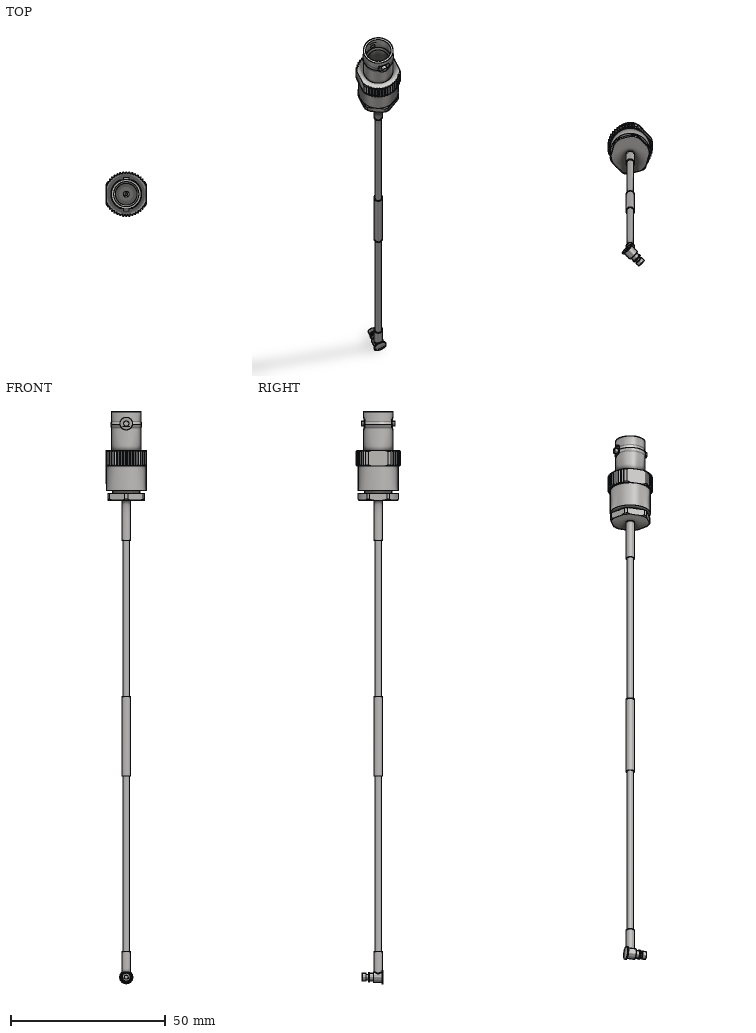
import cadquery as cq
import math


TOP_Z = 185.0
RING_Z = 180.8
RING_HEIGHT = 2.2
KNURL_TOP_Z = 172.5
KNURL_BOTTOM_Z = 167.5
BODY_BOTTOM_Z = 159.5
NUT_TOP_Z = 158.6
NUT_BOTTOM_Z = 156.4

BARREL_RADIUS = 4.8
BORE_RADIUS = 3.5
BORE_DEPTH = TOP_Z - KNURL_TOP_Z
MOUTH_RADIUS = 4.0
MOUTH_DEPTH = 4.8
MOUTH_TAPER_HEIGHT = 0.7
CONTACT_RADIUS = 1.0
CONTACT_HOLE_RADIUS = 0.46
CONTACT_HEIGHT = 3.7
RING_BULGE = 0.2
BODY_RADIUS = 6.5
NECK_RADIUS = 4.5
KNURL_TIP_RADIUS = 7.2
KNURL_CHAMFER = 0.4
KNURL_GROOVE_DEPTH = 0.5
KNURL_GROOVE_BASE_ANGLE = 12
KNURL_GROOVE_PITCH = 8
GROOVES_PER_SIDE = 14
KNURL_FLATS = 2 * BODY_RADIUS
NUT_ACROSS_FLATS = 11.8
NUT_CORNER_RADIUS = 6.57
NUT_CHAMFER = 0.4

LUG_Z = 181.2
LUG_RADIUS = 0.83
LUG_REACH = 5.46
LUG_FLAT_REACH = 4.3
LUG_FLAT_RADIUS = 2.0

CABLE_RADIUS = 1.1
SLEEVE_RADIUS = 1.39
UPPER_SLEEVE_BOTTOM_Z = 143.5
MIDDLE_SLEEVE_TOP_Z = 93.0
MIDDLE_SLEEVE_BOTTOM_Z = 67.2
LOWER_SLEEVE_TOP_Z = 10.4

CAP_RADIUS = 2.13
CAP_THICKNESS = 0.4
PLUG_BODY_RADIUS = 1.75
PLUG_HALF_LENGTH = 1.57
PLUG_Z = CAP_RADIUS
NOSE_RADIUS = 1.3
FLANGE_RADIUS = 1.5
FLANGE_START = 2.8
FLANGE_END = 3.1
COLLET_RADIUS = 1.0
HEAD_START = 3.9
HEAD_END = 5.2
HEAD_BORE_RADIUS = 0.65
HEAD_BORE_DEPTH = 1.3


def cylinder(radius, bottom_z, top_z):
    """Upright cylinder on the Z axis."""
    return cq.Workplane("XY", origin=(0, 0, bottom_z)).circle(radius).extrude(top_z - bottom_z)


def revolved(outline):
    """Solid of revolution about Z from (radius, height) points."""
    return cq.Workplane("XZ").polyline(outline).close().revolve(360, (0, 0), (0, 1))


def polar(radius, degrees):
    angle = math.radians(degrees)
    return (radius * math.cos(angle), radius * math.sin(angle))


def revolved_barrel():
    """Barrel, main body and neck, with a pointed ring around the barrel."""
    half_ring = RING_HEIGHT / 2
    outline = [
        (0, NUT_TOP_Z),
        (NECK_RADIUS, NUT_TOP_Z),
        (NECK_RADIUS, BODY_BOTTOM_Z),
        (BODY_RADIUS, BODY_BOTTOM_Z),
        (BODY_RADIUS, KNURL_BOTTOM_Z),
        (BARREL_RADIUS, KNURL_BOTTOM_Z),
        (BARREL_RADIUS, RING_Z - half_ring),
        (BARREL_RADIUS + RING_BULGE, RING_Z),
        (BARREL_RADIUS, RING_Z + half_ring),
        (BARREL_RADIUS, TOP_Z),
        (0, TOP_Z),
    ]
    return revolved(outline)


def knurl():
    """Chamfered disc with flats on the -X and +X sides and V-grooved arcs between them."""
    height = KNURL_TOP_Z - KNURL_BOTTOM_Z
    plane = cq.Workplane("XY", origin=(0, 0, KNURL_BOTTOM_Z))
    disc = cylinder(KNURL_TIP_RADIUS, KNURL_BOTTOM_Z, KNURL_TOP_Z).edges("%CIRCLE").chamfer(KNURL_CHAMFER)
    disc = disc.intersect(plane.rect(KNURL_FLATS, 2 * KNURL_TIP_RADIUS).extrude(height))
    grooves = plane
    for side_angle in (90, 270):
        for groove in range(GROOVES_PER_SIDE):
            angle = side_angle + (groove - (GROOVES_PER_SIDE - 1) / 2) * KNURL_GROOVE_PITCH
            grooves = grooves.polyline(groove_outline(angle)).close()
    return disc.cut(grooves.extrude(height))


def groove_outline(angle):
    """Triangle with its point inside the knurl rim and its base outside the rim."""
    root_radius = KNURL_TIP_RADIUS - KNURL_GROOVE_DEPTH
    outer_radius = KNURL_TIP_RADIUS + KNURL_GROOVE_DEPTH
    return [
        polar(root_radius, angle),
        polar(outer_radius, angle - KNURL_GROOVE_BASE_ANGLE / 2),
        polar(outer_radius, angle + KNURL_GROOVE_BASE_ANGLE / 2),
    ]


def nut():
    """Hexagon with corners on the Y axis, trimmed by a turned blank with a lower chamfer."""
    across_corners = NUT_ACROSS_FLATS / math.cos(math.pi / 6)
    height = NUT_TOP_Z - NUT_BOTTOM_Z
    hexagon = (
        cq.Workplane("XY", origin=(0, 0, NUT_BOTTOM_Z))
        .transformed(rotate=(0, 0, 90))
        .polygon(6, across_corners)
        .extrude(height)
    )
    blank = cylinder(NUT_CORNER_RADIUS, NUT_BOTTOM_Z, NUT_TOP_Z).faces("<Z").chamfer(NUT_CHAMFER)
    return hexagon.intersect(blank)


def y_cylinder(radius, start_y, end_y, z):
    """Cylinder along Y between two Y positions at height z."""
    plane = cq.Plane(origin=(0, start_y, z), xDir=(0, 0, 1), normal=(0, -1, 0))
    return cq.Workplane(plane).circle(radius).extrude(start_y - end_y)


def bore():
    """Bore with a wider mouth and a short taper below it, leaving a hollow contact standing on its floor."""
    floor_z = TOP_Z - BORE_DEPTH
    contact_top_z = floor_z + CONTACT_HEIGHT
    outline = [
        (0, floor_z),
        (CONTACT_HOLE_RADIUS, floor_z),
        (CONTACT_HOLE_RADIUS, contact_top_z),
        (CONTACT_RADIUS, contact_top_z),
        (CONTACT_RADIUS, floor_z),
        (BORE_RADIUS, floor_z),
        (BORE_RADIUS, TOP_Z - MOUTH_DEPTH - MOUTH_TAPER_HEIGHT),
        (MOUTH_RADIUS, TOP_Z - MOUTH_DEPTH),
        (MOUTH_RADIUS, TOP_Z),
        (0, TOP_Z),
    ]
    return revolved(outline)


def make_connector():
    connector = revolved_barrel().union(knurl()).union(nut())
    for side in (-1, 1):
        clearance = y_cylinder(LUG_FLAT_RADIUS, side * LUG_FLAT_REACH, side * 2 * LUG_REACH, LUG_Z)
        connector = connector.cut(clearance)
    for side in (-1, 1):
        lug = y_cylinder(LUG_RADIUS, side * (BORE_RADIUS + LUG_FLAT_REACH) / 2, side * LUG_REACH, LUG_Z)
        connector = connector.union(lug)
    return connector.cut(bore())


def make_sleeve(bottom_z, top_z):
    """Tube that fits closely around the cable."""
    return cylinder(SLEEVE_RADIUS, bottom_z, top_z).cut(cylinder(CABLE_RADIUS, bottom_z, top_z))


def make_plug():
    cap = y_cylinder(CAP_RADIUS, PLUG_HALF_LENGTH, PLUG_HALF_LENGTH - CAP_THICKNESS, PLUG_Z)
    body = y_cylinder(PLUG_BODY_RADIUS, PLUG_HALF_LENGTH, -PLUG_HALF_LENGTH, PLUG_Z)
    nose = y_cylinder(NOSE_RADIUS, 0, -FLANGE_END, PLUG_Z)
    flange = y_cylinder(FLANGE_RADIUS, -FLANGE_START, -FLANGE_END, PLUG_Z)
    collet = y_cylinder(COLLET_RADIUS, 0, -HEAD_END, PLUG_Z)
    head = y_cylinder(NOSE_RADIUS, -HEAD_START, -HEAD_END, PLUG_Z)
    head_bore = y_cylinder(HEAD_BORE_RADIUS, HEAD_BORE_DEPTH - HEAD_END, -HEAD_END, PLUG_Z)
    return cap.union(body).union(nose).union(flange).union(collet).union(head).cut(head_bore)


connector = make_connector()
plug = make_plug()
cable = cylinder(CABLE_RADIUS, PLUG_Z, NUT_BOTTOM_Z).cut(plug)
sleeve_spans = [
    (UPPER_SLEEVE_BOTTOM_Z, NUT_BOTTOM_Z),
    (MIDDLE_SLEEVE_BOTTOM_Z, MIDDLE_SLEEVE_TOP_Z),
    (PLUG_Z, LOWER_SLEEVE_TOP_Z),
]
sleeves = [make_sleeve(bottom_z, top_z).cut(plug).val() for bottom_z, top_z in sleeve_spans]

result = cq.Compound.makeCompound([connector.val(), cable.val(), *sleeves, plug.val()])